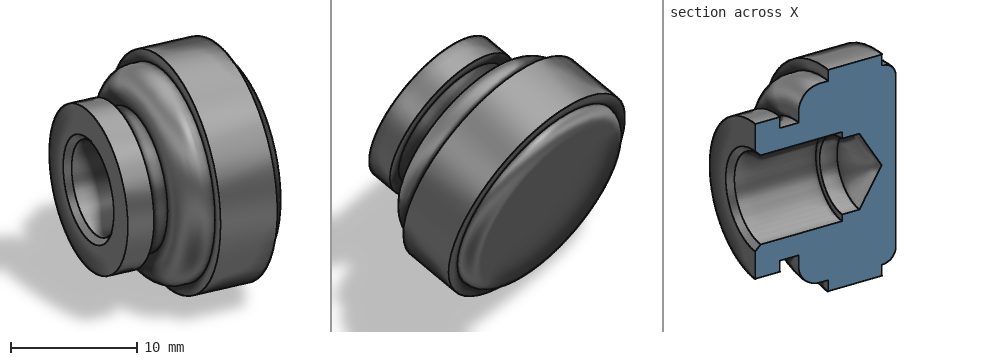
import cadquery as cq
import math

flange_length = 2.3
neck_length = 1.7
body_length = 9.0
rim_length = 5.0
rim_back_inset = 1.3
total_length = flange_length + neck_length + body_length

flange_radius = 7.0
neck_radius = 6.0
body_radius = 9.0
rim_radius = 10.0
body_front_fillet = 2.0
body_back_fillet = rim_back_inset

mouth_radius = 4.5
bore_radius = 4.0
pilot_radius = 3.4
mouth_chamfer = mouth_radius - bore_radius
bore_depth = 8.0
pilot_depth = 9.6
drill_point_angle = 118.0
point_length = pilot_radius / math.tan(math.radians(drill_point_angle / 2))

front = -total_length / 2


def disc(start, length, radius):
    """Cylinder about the Y axis, starting a given distance behind the front face."""
    return cq.Workplane("XZ", origin=(0, front + start, 0)).circle(radius).extrude(-length)


def make_body():
    body_start = flange_length + neck_length
    rim_start = total_length - rim_back_inset - rim_length
    body = disc(body_start, body_length, body_radius)
    body = body.faces("<Y").edges().fillet(body_front_fillet)
    body = body.faces(">Y").edges().fillet(body_back_fillet)
    flange = disc(0, flange_length, flange_radius)
    neck = disc(0, body_start + body_front_fillet, neck_radius)
    rim = disc(rim_start, rim_length, rim_radius)
    return body.union(rim).union(neck).union(flange)


def make_bore():
    half_profile = [
        (0, front),
        (mouth_radius, front),
        (bore_radius, front + mouth_chamfer),
        (bore_radius, front + bore_depth),
        (pilot_radius, front + bore_depth),
        (pilot_radius, front + pilot_depth),
        (0, front + pilot_depth + point_length),
    ]
    return cq.Workplane("XY").polyline(half_profile).close().revolve(360, (0, 0, 0), (0, 1, 0))


result = make_body().cut(make_bore())